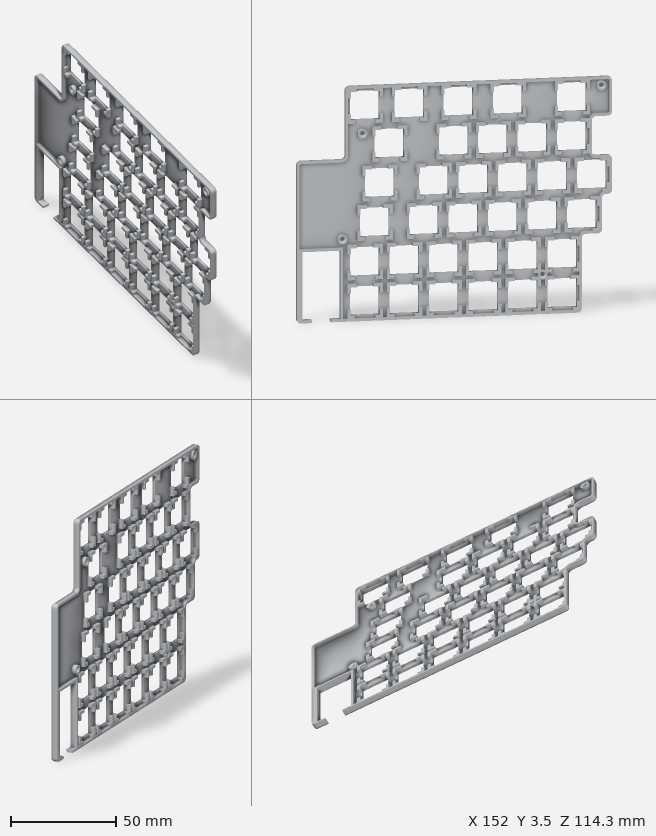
import cadquery as cq

length = 152.0
height = 114.3
thickness = 3.5
recess_depth = 2.1
rim_width = 1.2
corner_radius = 2.0
back_fillet = 1.0

opening = 14.0
edge_margin = 2.6
step_margin = 2.5
step_width = 4.9
row_count = 6
first_key_z = edge_margin + opening / 2
pitch = (height - 2 * first_key_z) / (row_count - 1)

shoulder_x = 23.4
shoulder_z = 78.7
first_key_x = shoulder_x + edge_margin + opening / 2
window_left = 2.7
window_right = 21.1
window_bottom = 1.2
window_top = 34.7
mouth_left = 7.3
mouth_right = 16.4

pad_width = 1.5
side_gap = 7.9
top_gap = 7.9
bottom_gap = 10.0

boss_diameter = 4.7
pilot_diameter = 1.8
pilot_chamfer = 0.6
boss_centers = [(22.0, 40.0), (31.8, 91.0), (147.0, 110.0)]

key_rows = [
    [0, 1, 2, 3, 4, 5],
    [0, 1, 2, 3, 4, 5],
    [0.25, 1.5, 2.5, 3.5, 4.5, 5.5],
    [0.375, 1.75, 2.75, 3.75, 4.75, 5.75],
    [0.625, 2.25, 3.25, 4.25, 5.25],
    [0, 1.125, 2.375, 3.625, 5.25],
]


def row_z(row):
    return first_key_z + row * pitch


key_centers = [
    (first_key_x + offset * pitch, row_z(row))
    for row, offsets in enumerate(key_rows)
    for offset in offsets
]

boss_centers.append((first_key_x + 4.5 * pitch, row_z(0.5)))


def front_plane():
    """Plane of the open side, with local axes X and Z; negative extrusion goes into +Y."""
    return cq.Workplane("XZ")


def rectangle(left, bottom, right, top, depth):
    """Block reaching from the open side to the given depth."""
    block = cq.Workplane("XY").box(right - left, depth, top - bottom, centered=False)
    return block.translate((left, 0, bottom))


def outline_solid(depth):
    """Stepped plate outline with rounded corners, from the open side into +Y."""
    row_reach = opening / 2 + step_margin
    points = [
        (0, 0),
        (length - 3 * step_width, 0),
        (length - 3 * step_width, row_z(2) - row_reach),
        (length - step_width, row_z(2) - row_reach),
        (length - step_width, row_z(3) - row_reach),
        (length, row_z(3) - row_reach),
        (length, row_z(3) + row_reach),
        (length - 2 * step_width, row_z(3) + row_reach),
        (length - 2 * step_width, row_z(5) - row_reach),
        (length, row_z(5) - row_reach),
        (length, height),
        (shoulder_x, height),
        (shoulder_x, shoulder_z),
        (0, shoulder_z),
    ]
    solid = front_plane().polyline(points).close().extrude(-depth)
    return solid.edges("|Y").fillet(corner_radius)


def key_pads():
    """Square rings around the openings, broken at the middle of each side."""
    ring = opening + 2 * pad_width
    reach = (opening + pad_width) / 2
    pads = front_plane().pushPoints(key_centers).rect(ring, ring).extrude(-recess_depth)
    gaps = front_plane().pushPoints(key_centers).rect(ring, side_gap).extrude(-recess_depth)
    for gap, shift in ((top_gap, reach), (bottom_gap, -reach)):
        centers = [(x, z + shift) for x, z in key_centers]
        gaps = gaps.union(front_plane().pushPoints(centers).rect(gap, pad_width).extrude(-recess_depth))
    return pads.cut(gaps)


def recess():
    """Hollow inside the rim, leaving the pads, the bosses and the window border standing."""
    hollow = (
        outline_solid(recess_depth).faces("<Y").wires().toPending()
        .workplane().offset2D(-rim_width).extrude(-recess_depth, combine=False)
    )
    border = rectangle(0, 0, window_right + rim_width, window_top + rim_width, recess_depth)
    bosses = front_plane().pushPoints(boss_centers).circle(boss_diameter / 2).extrude(-recess_depth)
    return hollow.cut(border).cut(key_pads()).cut(bosses)


def pilot_holes():
    """Blind holes down to the recess floor with a conical mouth."""
    holes = front_plane().pushPoints(boss_centers).circle(pilot_diameter / 2).extrude(-recess_depth)
    mouth = cq.Solid.makeCone(
        pilot_diameter / 2 + pilot_chamfer, pilot_diameter / 2, pilot_chamfer, dir=cq.Vector(0, 1, 0)
    )
    for x, z in boss_centers:
        holes = holes.union(cq.Workplane(mouth.translate(cq.Vector(x, 0, z))))
    return holes


plate = outline_solid(thickness).faces(">Y").edges().fillet(back_fillet)
plate = plate.cut(recess())
plate = plate.cut(front_plane().pushPoints(key_centers).rect(opening, opening).extrude(-thickness))
plate = plate.cut(rectangle(window_left, window_bottom, window_right, window_top, thickness))
plate = plate.cut(rectangle(mouth_left, 0, mouth_right, window_bottom, thickness))
result = plate.cut(pilot_holes())